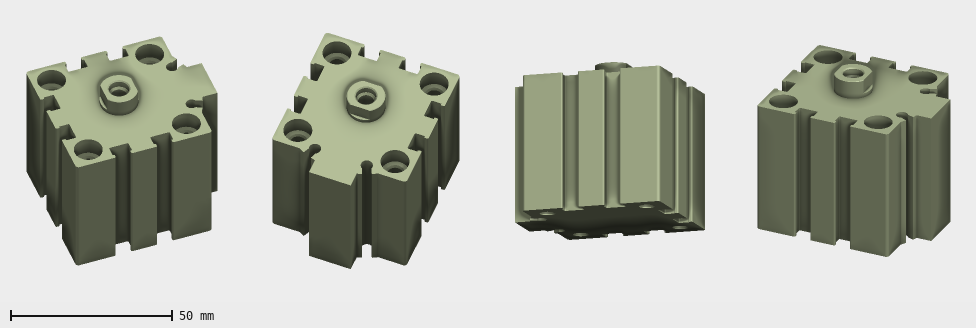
import cadquery as cq
import math

housing_width = 45.0
total_length = 52.5
total_height = 49.0
housing_height = 43.0
corner_radius = 1.0
half_width = housing_width / 2
tongue_width = 13.95
tongue_top = total_length - half_width

slot_offset = 6.8
slot_mouth = 5.15
slot_inner_width = 6.4
lip_thickness = 1.3
slot_depth = 4.6
lip_front_radius = 0.4
lip_back_radius = 0.3
slot_floor_radius = 0.3

arc_inset = 1 - math.sqrt(0.5)

lip_start = (13.1, half_width)
lip_peak = (11.4, 23.45)
lip_root = (10.2, 20.85)
tongue_root = (tongue_width / 2, 25.05)
barb_tip = (8.55, 24.55)
barb_root = (7.6, 22.05)
groove_center = (8.65, 20.85)
groove_radius = 1.9

hole_spacing = 32.5
hole_diameter = 4.95
countersink_diameter = 6.1
counterbore_diameter = 9.0
counterbore_depth = 5.85

rod_diameter = 12.0
rod_height = total_height - housing_height
rod_seat_depth = rod_diameter
rod_chamfer_width = 0.2
rod_chamfer_height = 0.15
flat_spacing = 10.1
flat_bottom = 1.35
bore_diameter = 6.4
bore_mouth_diameter = 7.15
bore_depth = 2.45
pilot_countersink_diameter = 6.1
pilot_diameter = 4.95
pilot_depth = 10.5
drill_tip_angle = 120


def make_profile():
    """Housing block with its tongue and the raised groove lips, before any cuts."""
    block = (
        cq.Workplane("XY")
        .rect(housing_width, housing_width)
        .extrude(housing_height)
        .edges("|Z")
        .fillet(corner_radius)
    )
    right_half = [
        (0, 0),
        (lip_start[0], 0),
        lip_start,
        lip_peak,
        lip_root,
        barb_root,
        barb_tip,
        tongue_root,
        (tongue_root[0], tongue_top),
        (0, tongue_top),
    ]
    right_tongue = cq.Workplane("XY").polyline(right_half).close().extrude(housing_height)
    return block.union(right_tongue).union(right_tongue.mirror("YZ"))


def make_groove():
    """Sensor groove on the +X side of the tongue: a round channel with a slanted mouth."""
    mouth_outline = [
        lip_peak,
        lip_root,
        groove_center,
        barb_root,
        barb_tip,
        tongue_root,
        (tongue_root[0], tongue_top),
        (lip_peak[0], tongue_top),
    ]
    mouth = (
        cq.Workplane("XY")
        .polyline(mouth_outline)
        .close()
        .extrude(housing_height)
    )
    channel = cq.Workplane("XY").center(*groove_center).circle(groove_radius).extrude(housing_height)
    return mouth.union(channel)


def make_slot():
    """T-slot cutter entering the -Y side, centred on X = 0, with rounded lips and floor corners."""
    side = -half_width
    mouth = slot_mouth / 2
    inner = slot_inner_width / 2
    lip_back = side + lip_thickness
    floor = side + slot_depth
    front_step = lip_front_radius * arc_inset
    back_step = lip_back_radius * arc_inset
    floor_step = slot_floor_radius * arc_inset
    right_half = (
        cq.Workplane("XY")
        .moveTo(0, side)
        .lineTo(mouth + lip_front_radius, side)
        .threePointArc((mouth + front_step, side + front_step), (mouth, side + lip_front_radius))
        .lineTo(mouth, lip_back - lip_back_radius)
        .threePointArc((mouth + back_step, lip_back - back_step), (mouth + lip_back_radius, lip_back))
        .lineTo(inner, lip_back)
        .lineTo(inner, floor - slot_floor_radius)
        .threePointArc((inner - floor_step, floor - floor_step), (inner - slot_floor_radius, floor))
        .lineTo(0, floor)
        .close()
        .extrude(housing_height)
    )
    return right_half.union(right_half.mirror("YZ"))


def cut_slots(body):
    slot = make_slot()
    for side_angle in (-90, 0, 90):
        for offset in (-slot_offset, slot_offset):
            placed = slot.translate((offset, 0, 0)).rotate((0, 0, 0), (0, 0, 1), side_angle)
            body = body.cut(placed)
    return body


def make_mounting_hole():
    """Through hole with a counterbore from the top and a 45 degree countersink in its floor."""
    floor = housing_height - counterbore_depth
    hole_radius = hole_diameter / 2
    countersink_radius = countersink_diameter / 2
    counterbore_radius = counterbore_diameter / 2
    section = [
        (0, 0),
        (hole_radius, 0),
        (hole_radius, floor - (countersink_radius - hole_radius)),
        (countersink_radius, floor),
        (counterbore_radius, floor),
        (counterbore_radius, housing_height),
        (0, housing_height),
    ]
    return cq.Workplane("XZ").polyline(section).close().revolve(360, (0, 0), (0, 1))


def make_rod_seat():
    """Blind hole in the top face that the rod fills."""
    return (
        cq.Workplane("XY")
        .workplane(offset=housing_height - rod_seat_depth)
        .circle(rod_diameter / 2)
        .extrude(rod_seat_depth)
    )


def make_housing():
    body = make_profile()
    groove = make_groove()
    body = body.cut(groove).cut(groove.mirror("YZ"))
    body = cut_slots(body)
    hole = make_mounting_hole()
    for x in (-hole_spacing / 2, hole_spacing / 2):
        for y in (-hole_spacing / 2, hole_spacing / 2):
            body = body.cut(hole.translate((x, y, 0)))
    return body.cut(make_rod_seat())


def make_rod_bore():
    """Stepped blind bore: chamfered mouth, wide bore, countersunk pilot hole and drill tip."""
    mouth_radius = bore_mouth_diameter / 2
    bore_radius = bore_diameter / 2
    countersink_radius = pilot_countersink_diameter / 2
    pilot_radius = pilot_diameter / 2
    tip_length = pilot_radius / math.tan(math.radians(drill_tip_angle / 2))
    bore_floor = rod_height - bore_depth
    section = [
        (0, rod_height),
        (mouth_radius, rod_height),
        (bore_radius, rod_height - (mouth_radius - bore_radius)),
        (bore_radius, bore_floor),
        (countersink_radius, bore_floor),
        (pilot_radius, bore_floor - (countersink_radius - pilot_radius)),
        (pilot_radius, rod_height - pilot_depth),
        (0, rod_height - pilot_depth - tip_length),
    ]
    return cq.Workplane("XZ").polyline(section).close().revolve(360, (0, 0), (0, 1))


def make_rod():
    """Rod built with the housing's top face at Z = 0, then raised into place."""
    radius = rod_diameter / 2
    section = [
        (0, -rod_seat_depth),
        (radius, -rod_seat_depth),
        (radius, rod_height - rod_chamfer_height),
        (radius - rod_chamfer_width, rod_height),
        (0, rod_height),
    ]
    shaft = cq.Workplane("XZ").polyline(section).close().revolve(360, (0, 0), (0, 1))
    flat_depth = (rod_diameter - flat_spacing) / 2
    flat_center = (flat_spacing + flat_depth) / 2
    flats = (
        cq.Workplane("XY")
        .workplane(offset=flat_bottom)
        .pushPoints([(0, -flat_center), (0, flat_center)])
        .rect(rod_diameter, flat_depth)
        .extrude(rod_height - flat_bottom)
    )
    return shaft.cut(flats).cut(make_rod_bore()).translate((0, 0, housing_height))


housing = make_housing()
rod = make_rod()

result = cq.Compound.makeCompound([housing.val(), rod.val()])